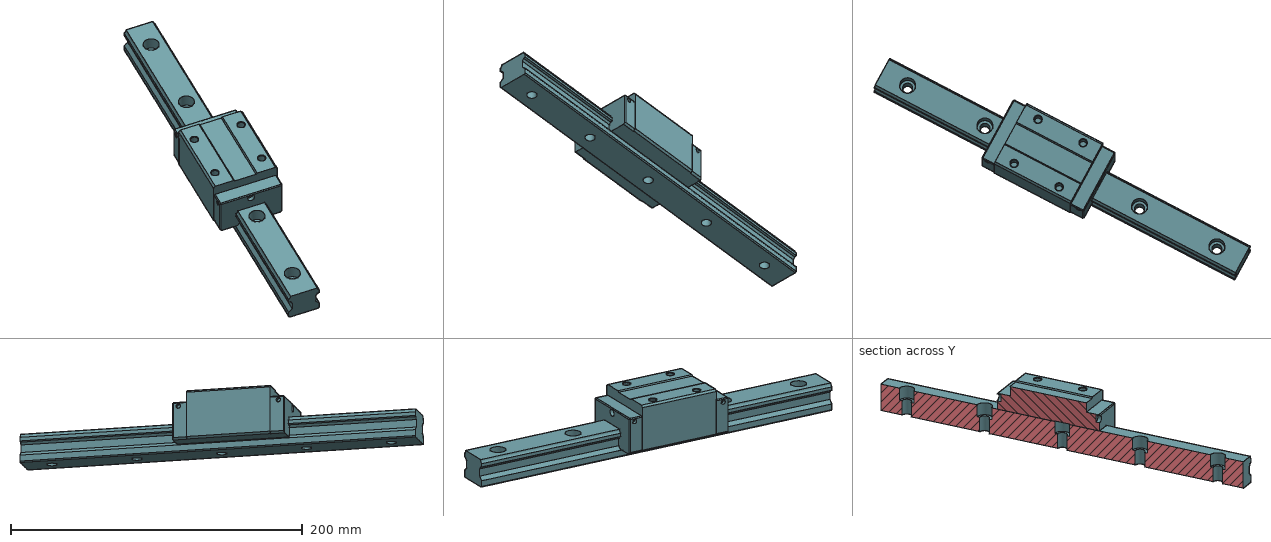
import cadquery as cq

RAIL_LENGTH = 280.0
RAIL_WIDTH = 23.0
RAIL_TOP_WIDTH = 20.2
RAIL_WAIST_WIDTH = 17.5
RAIL_HEIGHT = 20.2
RAIL_BOTTOM_CHAMFER = 0.8
SHOULDER_TOP_Z = 17.5
GROOVE_BOW = 0.3
SHOULDER_BOTTOM_Z = 15.0
LIP_DEPTH = 1.5
LIP_DROP = 0.5
WAIST_TOP_Z = 13.0
WAIST_BOTTOM_Z = 7.5
FOOT_TOP_Z = 5.0

SCREW_COUNT = 5
SCREW_END_MARGIN = 20.0
SCREW_PITCH = (RAIL_LENGTH - 2 * SCREW_END_MARGIN) / (SCREW_COUNT - 1)
SCREW_DIAMETER = 7.0
COUNTERBORE_DIAMETER = 11.0
COUNTERBORE_DEPTH = 9.0

CARRIAGE_X = 10.5
CARRIAGE_BOTTOM_Z = 6.0
CARRIAGE_TOP_Z = 40.0
BLOCK_LENGTH = 59.0
BLOCK_WIDTH = 48.0
LONG_CHAMFER = 1.5
RECESS_FLOOR_WIDTH = 16.0
RECESS_DEPTH = 0.8

CAP_THICKNESS = 10.0
CAP_WIDTH = 46.8
CAP_TOP_Z = 32.2
CAP_CHAMFER = 0.7

MOUNT_SPACING = 35.0
MOUNT_DIAMETER = 5.0
MOUNT_DEPTH = 8.0
MOUNT_MOUTH_DIAMETER = 6.0
END_PORT_DIAMETER = 5.0
END_PORT_Z = 28.8
END_PORT_DEPTH = 2.8
SIDE_PORT_DIAMETER = 3.0
SIDE_PORT_INSET = 4.2
SIDE_PORT_Z = 29.5
SIDE_PORT_DEPTH = 2.8

SIDES = (-1, 1)


def rail_bar():
    """Bar with the waisted rail section, along X and standing on Z = 0."""
    half = RAIL_WIDTH / 2
    half_waist = RAIL_WAIST_WIDTH / 2
    half_top = RAIL_TOP_WIDTH / 2
    right_side = [
        (half - RAIL_BOTTOM_CHAMFER, 0),
        (half, RAIL_BOTTOM_CHAMFER),
        (half, FOOT_TOP_Z),
        (half_waist, WAIST_BOTTOM_Z),
        (half_waist, WAIST_TOP_Z),
        (half - LIP_DEPTH, SHOULDER_BOTTOM_Z - LIP_DROP),
        (half, SHOULDER_BOTTOM_Z),
        (half, SHOULDER_TOP_Z),
    ]
    left_side = [(-y, z) for y, z in reversed(right_side)]
    groove_y = (half + half_top) / 2 - GROOVE_BOW
    groove_z = (SHOULDER_TOP_Z + RAIL_HEIGHT) / 2 - GROOVE_BOW
    section = (
        cq.Workplane("YZ")
        .polyline(right_side)
        .threePointArc((groove_y, groove_z), (half_top, RAIL_HEIGHT))
        .lineTo(-half_top, RAIL_HEIGHT)
        .threePointArc((-groove_y, groove_z), left_side[0])
        .polyline(left_side, includeCurrent=False)
        .close()
    )
    return section.extrude(RAIL_LENGTH / 2, both=True)


def make_rail():
    """Rail with a row of counterbored screw holes."""
    return (
        rail_bar()
        .faces(">Z")
        .workplane(origin=(0, 0, 0))
        .rarray(SCREW_PITCH, 2.8, SCREW_COUNT, 1)
        .cboreHole(SCREW_DIAMETER, COUNTERBORE_DIAMETER, COUNTERBORE_DEPTH)
    )


def make_block():
    """Central block with chamfered long edges and a shallow recess along its top."""
    height = CARRIAGE_TOP_Z - CARRIAGE_BOTTOM_Z
    block = (
        cq.Workplane("XY", origin=(CARRIAGE_X, 0, CARRIAGE_BOTTOM_Z))
        .box(BLOCK_LENGTH, BLOCK_WIDTH, height, centered=(True, True, False))
        .edges("|X")
        .chamfer(LONG_CHAMFER)
    )
    half_floor = RECESS_FLOOR_WIDTH / 2
    half_mouth = half_floor + RECESS_DEPTH
    floor_z = CARRIAGE_TOP_Z - RECESS_DEPTH
    recess = (
        cq.Workplane("YZ", origin=(CARRIAGE_X, 0, 0))
        .polyline([
            (-half_floor, floor_z),
            (half_floor, floor_z),
            (half_mouth, CARRIAGE_TOP_Z),
            (-half_mouth, CARRIAGE_TOP_Z),
        ])
        .close()
        .extrude(BLOCK_LENGTH / 2, both=True)
    )
    return block.cut(recess)


def make_cap(side):
    """End cap on the -X or +X end of the block, with its upper and outer edges chamfered."""
    center_x = CARRIAGE_X + side * (BLOCK_LENGTH + CAP_THICKNESS) / 2
    cap = (
        cq.Workplane("XY", origin=(center_x, 0, CARRIAGE_BOTTOM_Z))
        .box(CAP_THICKNESS, CAP_WIDTH, CAP_TOP_Z - CARRIAGE_BOTTOM_Z, centered=(True, True, False))
        .edges("|X and <Z")
        .chamfer(LONG_CHAMFER)
    )
    outer_face = ">X" if side > 0 else "<X"
    outer_edges = cap.faces(outer_face).edges("|Z or >Z")
    top_side_edges = cap.edges("|X and >Z")
    return outer_edges.add(top_side_edges).chamfer(CAP_CHAMFER)


def mount_holes():
    """Blind holes with a 45 degree countersink, one per corner of a square."""
    radius = MOUNT_DIAMETER / 2
    mouth_radius = MOUNT_MOUTH_DIAMETER / 2
    hole = (
        cq.Workplane("XZ")
        .polyline([
            (0, 0),
            (mouth_radius, 0),
            (radius, radius - mouth_radius),
            (radius, -MOUNT_DEPTH),
            (0, -MOUNT_DEPTH),
        ])
        .close()
        .revolve(360, (0, 0), (0, 1))
        .val()
    )
    return (
        cq.Workplane("XY", origin=(CARRIAGE_X, 0, CARRIAGE_TOP_Z))
        .rarray(MOUNT_SPACING, MOUNT_SPACING, 2, 2)
        .eachpoint(lambda place: hole.moved(place))
    )


def cap_ports(side):
    """Blind ports of one cap: one in the outer face and one in each side."""
    outer_x = CARRIAGE_X + side * (BLOCK_LENGTH / 2 + CAP_THICKNESS)
    ports = (
        cq.Workplane("YZ", origin=(outer_x, 0, END_PORT_Z))
        .circle(END_PORT_DIAMETER / 2)
        .extrude(-side * END_PORT_DEPTH)
    )
    for flank in SIDES:
        port_origin = (outer_x - side * SIDE_PORT_INSET, flank * CAP_WIDTH / 2, SIDE_PORT_Z)
        side_port = (
            cq.Workplane("XZ", origin=port_origin)
            .circle(SIDE_PORT_DIAMETER / 2)
            .extrude(flank * SIDE_PORT_DEPTH)
        )
        ports = ports.union(side_port)
    return ports


def make_carriage():
    """Block and end caps as one body, with a channel that fits the rail."""
    carriage = make_block()
    for side in SIDES:
        carriage = carriage.union(make_cap(side)).cut(cap_ports(side))
    return carriage.cut(mount_holes()).cut(rail_bar())


rail = make_rail()
carriage = make_carriage()

result = cq.Compound.makeCompound([rail.val(), carriage.val()])